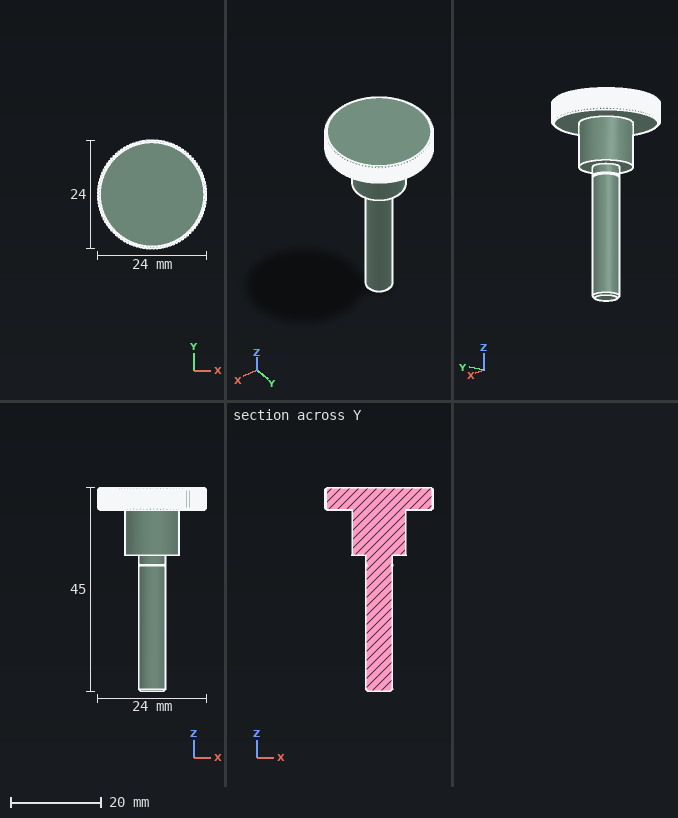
import cadquery as cq
import math

head_diameter = 24.0
head_height = 5.0
head_chamfer = 0.5
collar_diameter = 12.0
collar_height = 10.0
shank_diameter = 6.0
shank_length = 30.0
tip_chamfer = 0.5

neck_length = 2.0
neck_groove_width = 0.3
neck_groove_depth = 0.2

knurl_count = 100
knurl_depth = 0.25
knurl_land_share = 0.36

head_radius = head_diameter / 2
knurl_root_radius = head_radius - knurl_depth
knurl_pitch_angle = 2 * math.pi / knurl_count
land_half_angle = knurl_land_share * knurl_pitch_angle / 2


def polar_point(radius, angle):
    """XY coordinates at the given radius and angle."""
    return (radius * math.cos(angle), radius * math.sin(angle))


def knurled_prism():
    """Prism with flat-topped teeth; a groove root lies on the +X axis."""
    outline = cq.Workplane("XY").workplane(offset=collar_height)
    outline = outline.moveTo(knurl_root_radius, 0)
    for tooth in range(knurl_count):
        land_angle = (tooth + 0.5) * knurl_pitch_angle
        root_angle = (tooth + 1) * knurl_pitch_angle
        outline = outline.lineTo(*polar_point(head_radius, land_angle - land_half_angle))
        outline = outline.threePointArc(
            polar_point(head_radius, land_angle),
            polar_point(head_radius, land_angle + land_half_angle),
        )
        if tooth < knurl_count - 1:
            outline = outline.lineTo(*polar_point(knurl_root_radius, root_angle))
    return outline.close().extrude(head_height)


def knurled_head():
    """Knurled prism bevelled at both ends by a chamfered disc."""
    bevelled_disc = (
        cq.Workplane("XY")
        .workplane(offset=collar_height)
        .circle(head_radius)
        .extrude(head_height)
        .edges("%CIRCLE")
        .chamfer(head_chamfer)
    )
    return knurled_prism().intersect(bevelled_disc)


def collar():
    """Plain cylinder between the shoulder and the head."""
    return cq.Workplane("XY").circle(collar_diameter / 2).extrude(collar_height)


def shank():
    """Shank with a chamfered tip and the groove below the neck."""
    rod = (
        cq.Workplane("XY")
        .circle(shank_diameter / 2)
        .extrude(-shank_length)
        .faces("<Z")
        .chamfer(tip_chamfer)
    )
    groove = (
        cq.Workplane("XY")
        .workplane(offset=-neck_length)
        .circle(shank_diameter / 2)
        .circle(shank_diameter / 2 - neck_groove_depth)
        .extrude(-neck_groove_width)
    )
    return rod.cut(groove)


result = knurled_head().union(collar()).union(shank())